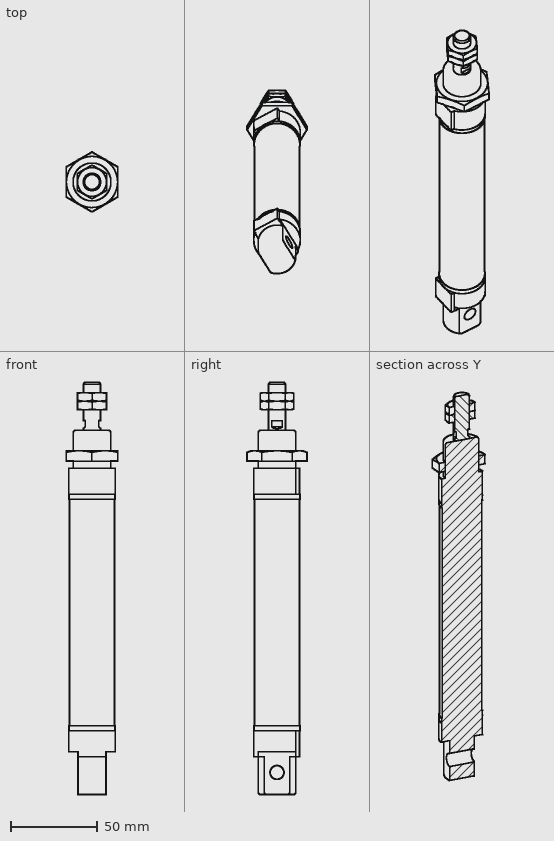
import cadquery as cq
import math

TOTAL_LENGTH = 239.0

REAR_CAP_BASE_Z = 22.0
REAR_CAP_TOP_Z = 37.0
FRONT_CAP_BASE_Z = 174.0
NOSE_BASE_Z = 189.3
NOSE_TOP_Z = 211.3
COLLAR_LENGTH = 2.9

CAP_DIAMETER = 27.0
COLLAR_DIAMETER = 26.8
TUBE_DIAMETER = 26.3
SPIGOT_DIAMETER = 22.0
SPIGOT_EDGE_RADIUS = 1.7

TONGUE_THICKNESS = 16.3
TONGUE_TOP_Z = 24.9
EYE_DIAMETER = 8.0
EYE_Z = 13.0
PAD_WIDTH = 15.8
PAD_FACE_Y = TUBE_DIAMETER / 2

ROD_DIAMETER = 10.0
ROD_TIP_DIAMETER = 8.5
ROD_TIP_HEIGHT = 1.2
WRENCH_FLAT_THICKNESS = 8.0
WRENCH_FLAT_BASE_Z = 213.2
WRENCH_FLAT_TOP_Z = 216.8

NOSE_NUT_FLATS = 30.0
NOSE_NUT_CROWN_DIAMETER = 29.6
NOSE_NUT_BASE_Z = 193.4
NOSE_NUT_HEIGHT = 6.0
ROD_NUT_FLATS = 17.0
ROD_NUT_CROWN_DIAMETER = 16.7
ROD_NUT_BASE_Z = 223.0
ROD_NUT_HEIGHT = 5.0
ROD_NUT_COUNT = 2
CROWN_ANGLE = math.radians(20)
CORNER_TURN = 30


def revolve_profile(points):
    """Solid of revolution about Z from (radius, height) points."""
    return cq.Workplane("XZ").polyline(points).close().revolve(360, (0, 0, 0), (0, 1, 0))


def make_housing_core():
    spigot = SPIGOT_DIAMETER / 2
    cap = CAP_DIAMETER / 2
    collar = COLLAR_DIAMETER / 2
    tube = TUBE_DIAMETER / 2
    core = revolve_profile([
        (0, 0),
        (spigot, 0),
        (spigot, REAR_CAP_BASE_Z),
        (cap, REAR_CAP_BASE_Z),
        (cap, REAR_CAP_TOP_Z),
        (collar, REAR_CAP_TOP_Z),
        (collar, REAR_CAP_TOP_Z + COLLAR_LENGTH),
        (tube, REAR_CAP_TOP_Z + COLLAR_LENGTH),
        (tube, FRONT_CAP_BASE_Z - COLLAR_LENGTH),
        (collar, FRONT_CAP_BASE_Z - COLLAR_LENGTH),
        (collar, FRONT_CAP_BASE_Z),
        (cap, FRONT_CAP_BASE_Z),
        (cap, NOSE_BASE_Z),
        (spigot, NOSE_BASE_Z),
        (spigot, NOSE_TOP_Z),
        (0, NOSE_TOP_Z),
    ])
    return core.faces("<Z or >Z").edges().fillet(SPIGOT_EDGE_RADIUS)


def square_cap_side(body, base_z, top_z):
    """Flatten a cap on its +Y side and square it out to a straight-sided pad."""
    height = top_z - base_z
    level = cq.Workplane("XY").workplane(offset=base_z)
    pad = level.center(0, PAD_FACE_Y / 2).rect(PAD_WIDTH, PAD_FACE_Y).extrude(height)
    beyond_face = (
        level.center(0, PAD_FACE_Y + CAP_DIAMETER / 2)
        .rect(CAP_DIAMETER, CAP_DIAMETER)
        .extrude(height)
    )
    return body.union(pad).cut(beyond_face)


def cut_tongue_flats(body):
    """Trim both X sides of the tail, and the cap edge above it, to the tongue thickness."""
    reach = CAP_DIAMETER
    for side in (-1, 1):
        cutter = (
            cq.Workplane("XY")
            .center(side * (TONGUE_THICKNESS + reach) / 2, 0)
            .rect(reach, 2 * reach)
            .extrude(TONGUE_TOP_Z)
        )
        body = body.cut(cutter)
    return body


def make_housing():
    body = make_housing_core()
    body = square_cap_side(body, REAR_CAP_BASE_Z, REAR_CAP_TOP_Z)
    body = square_cap_side(body, FRONT_CAP_BASE_Z, NOSE_BASE_Z)
    body = cut_tongue_flats(body)
    eye = cq.Workplane("YZ").center(0, EYE_Z).circle(EYE_DIAMETER / 2).extrude(CAP_DIAMETER, both=True)
    return body.cut(eye)


def make_rod():
    radius = ROD_DIAMETER / 2
    rod = revolve_profile([
        (0, NOSE_TOP_Z),
        (radius, NOSE_TOP_Z),
        (radius, TOTAL_LENGTH - ROD_TIP_HEIGHT),
        (ROD_TIP_DIAMETER / 2, TOTAL_LENGTH),
        (0, TOTAL_LENGTH),
    ])
    flat_x = WRENCH_FLAT_THICKNESS / 2
    run_out = radius - flat_x
    for side in (-1, 1):
        notch = (
            cq.Workplane("XZ")
            .polyline([
                (side * flat_x, WRENCH_FLAT_BASE_Z),
                (side * radius, WRENCH_FLAT_BASE_Z - run_out),
                (side * radius, WRENCH_FLAT_TOP_Z),
                (side * flat_x, WRENCH_FLAT_TOP_Z),
            ])
            .close()
            .extrude(radius, both=True)
        )
        rod = rod.cut(notch)
    return rod


def make_nut(flats, bore, crown_diameter, base_z, height, crown_bottom):
    corner_radius = flats / math.sqrt(3)
    crown_radius = crown_diameter / 2
    crown_drop = (corner_radius - crown_radius) * math.tan(CROWN_ANGLE)
    top_z = base_z + height
    hexagon = (
        cq.Workplane("XY")
        .workplane(offset=base_z)
        .transformed(rotate=(0, 0, CORNER_TURN))
        .polygon(6, 2 * corner_radius)
        .circle(bore / 2)
        .extrude(height)
    )
    if crown_bottom:
        lower_edge = [(crown_radius, base_z), (corner_radius, base_z + crown_drop)]
    else:
        lower_edge = [(corner_radius, base_z)]
    upper_edge = [(corner_radius, top_z - crown_drop), (crown_radius, top_z)]
    envelope = revolve_profile([(0, base_z), *lower_edge, *upper_edge, (0, top_z)])
    return hexagon.intersect(envelope)


def make_nose_nut():
    return make_nut(
        NOSE_NUT_FLATS, SPIGOT_DIAMETER, NOSE_NUT_CROWN_DIAMETER, NOSE_NUT_BASE_Z, NOSE_NUT_HEIGHT, False
    )


def make_rod_nut(base_z):
    return make_nut(ROD_NUT_FLATS, ROD_DIAMETER, ROD_NUT_CROWN_DIAMETER, base_z, ROD_NUT_HEIGHT, True)


housing = make_housing()
rod = make_rod()
nose_nut = make_nose_nut()
rod_nuts = [make_rod_nut(ROD_NUT_BASE_Z + i * ROD_NUT_HEIGHT) for i in range(ROD_NUT_COUNT)]

result = cq.Compound.makeCompound([
    housing.val(),
    rod.val(),
    nose_nut.val(),
    *[nut.val() for nut in rod_nuts],
])